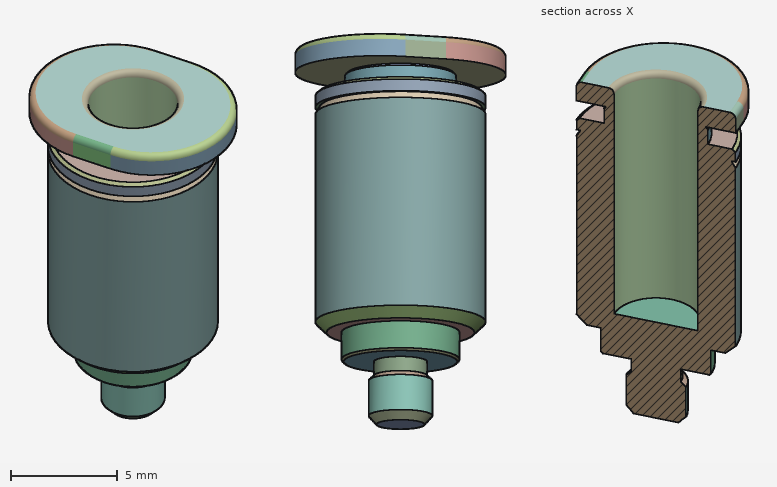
import cadquery as cq

total_height = 17.9
body_diameter = 8.0
flange_length = 10.0
flange_width = body_diameter

tip_chamfer_top = 0.41
tip_land_top = 2.1
stem_neck_bottom = 2.33
spigot_bottom = 3.0
spigot_chamfer_top = 3.11
body_bottom = 4.4
body_chamfer_top = 4.9
groove_bottom = 14.85
groove_top = 15.18
body_chamfer_bottom = 15.73
body_top = 15.88
flange_bottom = 16.79

body_radius = body_diameter / 2
tip_end_radius = 1.13
tip_radius = 1.5
stem_neck_radius = 1.25
spigot_radius = 2.77
spigot_chamfer = spigot_chamfer_top - spigot_bottom
body_bottom_radius = 3.47
groove_depth = 0.2
body_top_chamfer = 0.18
collar_radius = 2.61
collar_chamfer = 0.1

edge_rounding = 0.3
bore_radius = 2.1
bore_floor = 5.37


def make_turned_body():
    """Stem, spigot, grooved body and collar revolved about Z."""
    profile = [
        (0, 0),
        (tip_end_radius, 0),
        (tip_radius, tip_chamfer_top),
        (tip_radius, tip_land_top),
        (stem_neck_radius, stem_neck_bottom),
        (stem_neck_radius, spigot_bottom),
        (spigot_radius - spigot_chamfer, spigot_bottom),
        (spigot_radius, spigot_chamfer_top),
        (spigot_radius, body_bottom),
        (body_bottom_radius, body_bottom),
        (body_radius, body_chamfer_top),
        (body_radius, groove_bottom),
        (body_radius - groove_depth, groove_top),
        (body_radius, groove_top),
        (body_radius, body_chamfer_bottom),
        (body_radius - body_top_chamfer, body_top),
        (collar_radius, body_top),
        (collar_radius, flange_bottom - collar_chamfer),
        (collar_radius - collar_chamfer, flange_bottom),
        (0, flange_bottom),
    ]
    return cq.Workplane("XZ").polyline(profile).close().revolve(360, (0, 0, 0), (0, 1, 0))


def make_flange():
    """Oblong release flange with a rounded upper rim."""
    return (
        cq.Workplane("XY", origin=(0, 0, flange_bottom))
        .slot2D(flange_length, flange_width)
        .extrude(total_height - flange_bottom)
        .faces(">Z")
        .edges()
        .fillet(edge_rounding)
    )


def make_bore():
    """Blind tube bore whose mouth flares out with a quarter-round."""
    mouth_radius = bore_radius + edge_rounding
    mouth_bottom = total_height - edge_rounding
    return (
        cq.Workplane("XZ")
        .moveTo(0, bore_floor)
        .lineTo(bore_radius, bore_floor)
        .lineTo(bore_radius, mouth_bottom)
        .radiusArc((mouth_radius, total_height), edge_rounding)
        .lineTo(0, total_height)
        .close()
        .revolve(360, (0, 0, 0), (0, 1, 0))
    )


result = make_turned_body().union(make_flange()).cut(make_bore())